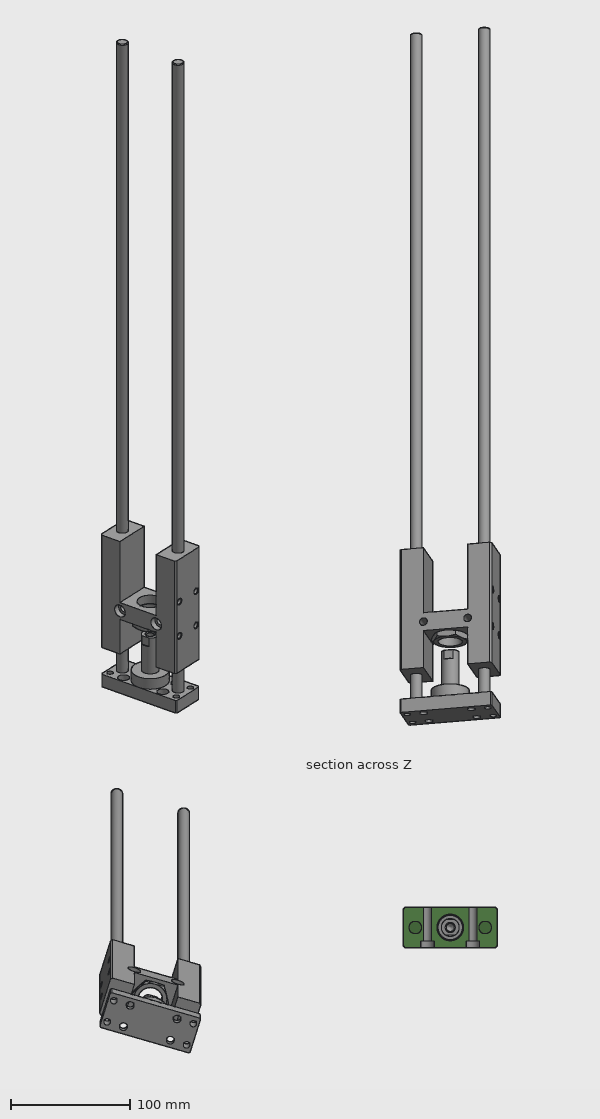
import cadquery as cq
import math

overall_width = 79.0
overall_height = 610.0

rod_diameter = 10.0
rod_spacing = 58.5
rod_end_chamfer = 0.8

plate_depth = 32.0
plate_thickness = 12.0
plate_edge_chamfer = 1.0
plate_hole_spacing_y = 19.5
inner_hole_spacing_x = 41.0
inner_hole_diameter = 6.6
inner_counterbore_diameter = 10.0
inner_counterbore_depth = 5.5
outer_hole_spacing_x = 69.5
outer_hole_diameter = 5.5

collar_diameter = 32.0
collar_top = 22.0
post_diameter = 15.0
post_top = 56.0
flat_distance = 13.0
flat_height = 8.0
post_hole_diameter = 6.65
post_hole_mouth_diameter = 8.5
post_hole_depth = 15.0

housing_depth = 34.0
housing_bottom = 38.0
housing_height = 107.0
housing_top = housing_bottom + housing_height
housing_edge_chamfer = 1.5
leg_gap = 38.0
bridge_bottom = 71.0
bridge_top = 87.0
bridge_middle = (bridge_bottom + bridge_top) / 2

boss_sides = 6
boss_across_corners = 32.0
boss_drop = 5.5
boss_bottom = bridge_bottom - boss_drop
boss_across_flats = boss_across_corners * math.cos(math.pi / boss_sides)
boss_chamfer_radial = (boss_across_corners - boss_across_flats) / 2
boss_chamfer_height = 1.2
seat_diameter = 22.0
seat_depth = 8.0
thread_diameter = 20.38

bridge_hole_diameter = 6.6
bridge_counterbore_diameter = 11.0
bridge_counterbore_depth = 5.5

side_hole_diameter = 4.92
side_hole_mouth_diameter = 6.0
side_hole_depth = 10.0
side_hole_spacing = 23.0
side_hole_heights = (72.0, 104.5)

drill_tip_half_angle = 59.0


def mirrored(spacing):
    """Two positions at equal distance on either side of zero."""
    return (-spacing / 2, spacing / 2)


def block(width, depth, bottom, top):
    """Upright block centred on the Z axis."""
    return cq.Workplane("XY", origin=(0, 0, bottom)).rect(width, depth).extrude(top - bottom)


def cylinder(diameter, bottom, top, x=0.0, y=0.0):
    """Upright cylinder between two heights."""
    disc = cq.Workplane("XY", origin=(x, y, bottom)).circle(diameter / 2)
    return disc.extrude(top - bottom)


def cylinder_along_y(diameter, start, end, x, z):
    """Cylinder parallel to Y between two Y positions."""
    disc = cq.Workplane("XZ", origin=(x, start, z)).circle(diameter / 2)
    return disc.extrude(start - end)


def tapped_hole(diameter, mouth_diameter, depth):
    """Blind hole cutter going down from the origin: chamfered mouth, straight wall, drill tip."""
    radius = diameter / 2
    mouth_radius = mouth_diameter / 2
    tip_length = radius / math.tan(math.radians(drill_tip_half_angle))
    profile = (
        cq.Workplane("XZ")
        .moveTo(0, 0)
        .lineTo(mouth_radius, 0)
        .lineTo(radius, radius - mouth_radius)
        .lineTo(radius, -depth)
        .lineTo(0, -depth - tip_length)
        .close()
    )
    return profile.revolve(360, (0, 0, 0), (0, 1, 0))


def make_plate():
    """End plate with four counterbored inner holes and four plain outer holes."""
    plate = block(overall_width, plate_depth, 0, plate_thickness)
    plate = plate.edges("|Z").chamfer(plate_edge_chamfer)
    counterbore_floor = plate_thickness - inner_counterbore_depth
    for y in mirrored(plate_hole_spacing_y):
        for x in mirrored(inner_hole_spacing_x):
            plate = plate.cut(cylinder(inner_hole_diameter, 0, plate_thickness, x, y))
            plate = plate.cut(cylinder(inner_counterbore_diameter, counterbore_floor, plate_thickness, x, y))
        for x in mirrored(outer_hole_spacing_x):
            plate = plate.cut(cylinder(outer_hole_diameter, 0, plate_thickness, x, y))
    return plate


def make_post():
    """Round post on its collar, with two wrench flats and a tapped hole at the tip."""
    flats_bottom = post_top - flat_height
    post = cylinder(post_diameter, collar_top, post_top)
    tip = cylinder(post_diameter, flats_bottom, post_top)
    post = post.cut(tip.cut(block(post_diameter, flat_distance, flats_bottom, post_top)))
    post = post.union(cylinder(collar_diameter, plate_thickness, collar_top))
    hole = tapped_hole(post_hole_diameter, post_hole_mouth_diameter, post_hole_depth)
    return post.cut(hole.translate((0, 0, post_top)))


def make_slide():
    """End plate with its coupling post and both guide rods."""
    slide = make_plate().union(make_post())
    for x in mirrored(rod_spacing):
        rod = cylinder(rod_diameter, 0, overall_height, x)
        slide = slide.union(rod.faces(">Z").edges().chamfer(rod_end_chamfer))
    return slide


def make_boss():
    """Hexagon with corners on the X axis, its corners rounded off conically at both ends."""
    hexagon = cq.Workplane("XY", origin=(0, 0, boss_bottom)).polygon(boss_sides, boss_across_corners)
    envelope = cylinder(boss_across_corners, boss_bottom, bridge_bottom)
    envelope = envelope.faces("<Z or >Z").edges().chamfer(boss_chamfer_height, boss_chamfer_radial)
    return hexagon.extrude(boss_drop).intersect(envelope)


def make_housing_blank():
    """Two legs joined by a bridge with a hexagonal boss below it."""
    blank = block(overall_width, housing_depth, housing_bottom, housing_top)
    blank = blank.edges("|Z").chamfer(housing_edge_chamfer)
    blank = blank.cut(block(leg_gap, housing_depth, housing_bottom, bridge_bottom))
    blank = blank.cut(block(leg_gap, housing_depth, bridge_top, housing_top))
    return blank.union(make_boss())


def cut_seat(housing):
    """Round seat open to the bridge top, with a narrower threaded bore below it."""
    seat_bottom = bridge_top - seat_depth
    housing = housing.cut(cylinder(seat_diameter, seat_bottom, bridge_top))
    return housing.cut(cylinder(thread_diameter, boss_bottom, seat_bottom))


def cut_rod_bores(housing):
    for x in mirrored(rod_spacing):
        housing = housing.cut(cylinder(rod_diameter, housing_bottom, housing_top, x))
    return housing


def cut_bridge_bolt_holes(housing):
    front = -housing_depth / 2
    back = housing_depth / 2
    counterbore_floor = front + bridge_counterbore_depth
    for x in mirrored(leg_gap):
        bolt_hole = cylinder_along_y(bridge_hole_diameter, front, back, x, bridge_middle)
        counterbore = cylinder_along_y(
            bridge_counterbore_diameter, front, counterbore_floor, x, bridge_middle
        )
        housing = housing.cut(bolt_hole).cut(counterbore)
    return housing


def cut_side_holes(housing):
    hole = tapped_hole(side_hole_diameter, side_hole_mouth_diameter, side_hole_depth)
    for side in (-1, 1):
        side_hole = hole.rotate((0, 0, 0), (0, 1, 0), side * 90)
        for y in mirrored(side_hole_spacing):
            for z in side_hole_heights:
                housing = housing.cut(side_hole.translate((side * overall_width / 2, y, z)))
    return housing


def make_housing():
    housing = make_housing_blank()
    housing = cut_seat(housing)
    housing = cut_rod_bores(housing)
    housing = cut_bridge_bolt_holes(housing)
    return cut_side_holes(housing)


housing = make_housing()
slide = make_slide()
result = cq.Compound.makeCompound([housing.val(), slide.val()])